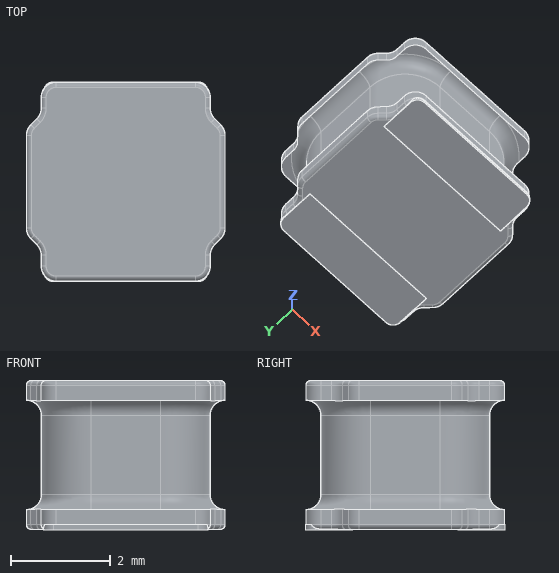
import cadquery as cq

core_width = 4.0
flange_thickness = 0.4
rim_radius = 0.1
post_width = 3.4
post_corner_radius = 1.0
neck_radius = 0.3

notch_depth = 0.297
notch_start = 1.057
outline_radius = 0.3

overall_depth = 4.02
overall_height = 3.01
terminal_length = 3.305
terminal_corner_radius = 0.2
terminal_inner_y = 1.057
terminal_drop = 0.01

core_height = overall_height - terminal_drop
post_bottom = terminal_drop + flange_thickness
post_height = core_height - 2 * flange_thickness

flange_blank_width = core_width + 4 * neck_radius


def plate(width, depth, bottom, height):
    """Rectangular block centred on the Z axis."""
    block = cq.Workplane("XY").box(width, depth, height, centered=(True, True, False))
    return block.translate((0, 0, bottom))


def notched_outline():
    """Corner points of the flange outline, before its corners are rounded."""
    half = core_width / 2
    step_x = half - notch_depth
    step_y = notch_start + notch_depth
    first_corner = [(half, notch_start), (step_x, step_y), (step_x, half)]
    second_corner = [(-x, y) for x, y in reversed(first_corner)]
    upper_half = first_corner + second_corner
    lower_half = [(-x, -y) for x, y in upper_half]
    return upper_half + lower_half


def core_envelope():
    """Notched prism of full core height with rounded top and bottom rims."""
    prism = cq.Workplane("XY", origin=(0, 0, terminal_drop)).polyline(notched_outline()).close()
    prism = prism.extrude(core_height).edges("|Z").fillet(outline_radius)
    return prism.faces("<Z or >Z").edges().fillet(rim_radius)


def flared_post():
    """Post between two oversized flanges, flaring into them through a concave neck."""
    post = plate(post_width, post_width, post_bottom, post_height).edges("|Z").fillet(post_corner_radius)
    blank = post
    for bottom in (terminal_drop, overall_height - flange_thickness):
        blank = blank.union(plate(flange_blank_width, flange_blank_width, bottom, flange_thickness))
    inside = (core_width + flange_blank_width) / 4
    neck_edges = cq.selectors.BoxSelector(
        (-inside, -inside, 0), (inside, inside, overall_height), boundingbox=True
    )
    return blank.edges("#Z").edges(neck_edges).fillet(neck_radius)


def terminal(end):
    """Pad at one Y end (+1 or -1) with its two outer corners rounded."""
    width = overall_depth / 2 - terminal_inner_y
    centre_y = terminal_inner_y + width / 2
    pad = plate(terminal_length, width, 0, terminal_drop + rim_radius).translate((0, centre_y, 0))
    pad = pad.edges("|Z and >Y").fillet(terminal_corner_radius)
    return pad if end > 0 else pad.mirror("XZ")


result = flared_post().intersect(core_envelope())
for end in (1, -1):
    result = result.union(terminal(end))